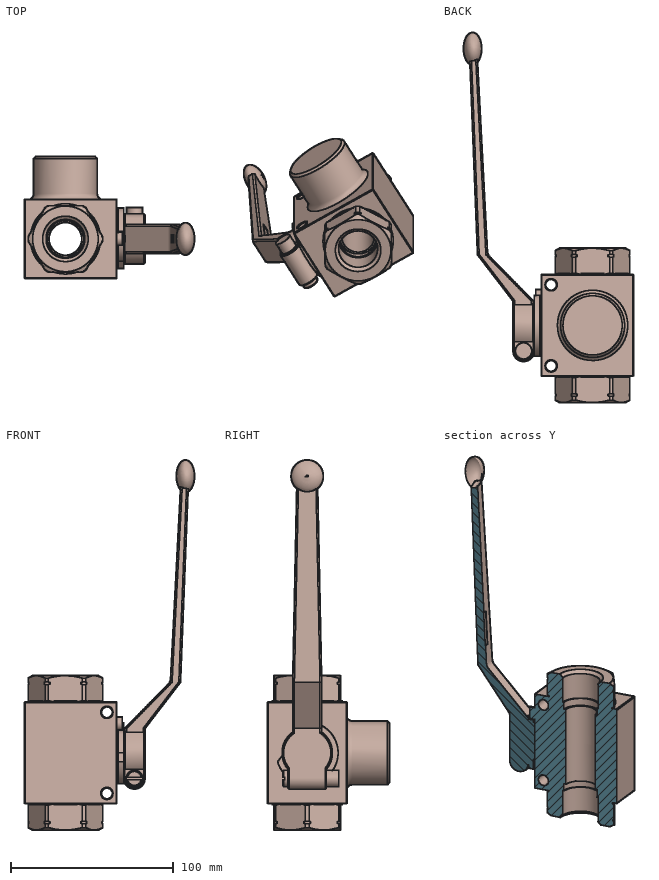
import cadquery as cq
import math


BLOCK_LEFT = -25.3
BLOCK_WIDTH = 56.9
BLOCK_RIGHT = BLOCK_LEFT + BLOCK_WIDTH
BLOCK_DEPTH = 49.0
BLOCK_HEIGHT = 62.5
BLOCK_CHAMFER = 0.5
MOUNT_HOLE_DIAMETER = 6.5
MOUNT_HOLE_CHAMFER = 0.5
MOUNT_HOLE_X = 25.5
MOUNT_HOLE_PITCH = 49.8

NUT_END_Z = 47.5
NUT_FLATS = 41.0
NUT_CORNER_DIAMETER = 46.0
NUT_FACE_DIAMETER = 40.3
NUT_CHAMFER_ANGLE = 30.0
NUT_GROOVE_FROM_END = 4.8
NUT_GROOVE_WIDTH = 1.5
NUT_GROOVE_DEPTH = 0.5
NUT_BASE_DIAMETER = 43.2
NUT_COLLAR_HEIGHT = 0.7

PASSAGE_DIAMETER = 20.0
STEP_DIAMETER = 22.5
SOCKET_DIAMETER = 24.0
SOCKET_DEPTH = 18.2
STEP_DEPTH = 22.8
SOCKET_CHAMFER = 2.0

PORT_DIAMETER = 39.4
PORT_LENGTH = 26.2
PORT_CHAMFER = 1.48
PORT_COLLAR_DIAMETER = 43.2
PORT_COLLAR_LENGTH = 3.2

STOP_PIN_DIAMETER = 8.0
STOP_PIN_LENGTH = 3.5
STOP_PIN_Z = 18.09

NECK_DIAMETER = 25.0
NECK_LENGTH = 0.8
DISC_DIAMETER = 38.0
DISC_INNER_DIAMETER = 27.8
DISC_END = 4.2
STOP_FACE_Y = 4.8
LOWER_STOP_INNER_Z = 0.0
LOWER_STOP_OUTER_Z = -5.5

HUB_DIAMETER = 31.0
HUB_END = 17.3
HUB_LENGTH = HUB_END - DISC_END
HUB_CHAMFER = 1.0
EAR_HALF_WIDTH = 11.8
EAR_CHAMFER = 0.7
SCREW_X = BLOCK_RIGHT + (DISC_END + HUB_END) / 2
SCREW_Z = -15.7
SCREW_HEAD_DIAMETER = 10.0
SCREW_HEAD_CHAMFER = 0.7
SCREW_FRONT_Y = -15.0
SCREW_BACK_Y = 19.3
SCREW_SLOT_WIDTH = 1.4
SCREW_SLOT_DEPTH = 1.1

LEVER_FOOT_Z = 15.0
LEVER_BEND_Z = 43.5
LEVER_FOOT_LEFT = 36.5
LEVER_FOOT_RIGHT = BLOCK_RIGHT + HUB_END
LEVER_BEND_LEFT = 64.4
LEVER_BEND_RIGHT = 70.8
LEVER_TOP_LEFT = 71.0
LEVER_TOP_RIGHT = 75.8
LEVER_WIDTH = 18.0
LEVER_TOP_WIDTH = 12.7
LEVER_BEVEL = 1.1
LEVER_BEND_RUN = 1.8

KNOB_X = 73.7
KNOB_DIAMETER = 20.0
KNOB_THICKNESS = 11.4
KNOB_Z = 227.5 - NUT_END_Z - KNOB_DIAMETER / 2

LABEL_WIDTH = 5.0
LABEL_BOTTOM_Z = 57.0
LABEL_TOP_Z = 78.7
LABEL_DEPTH = 0.2


def cylinder_x(diameter, x_start, x_end, z=0.0):
    """Cylinder along X between two places."""
    plane = cq.Workplane("YZ", origin=(x_start, 0, z))
    return plane.circle(diameter / 2).extrude(x_end - x_start)


def cylinder_y(diameter, y_start, y_end, x, z):
    """Cylinder along Y between two places."""
    plane = cq.Workplane("XZ", origin=(x, y_start, z))
    return plane.circle(diameter / 2).extrude(y_start - y_end)


def make_block():
    block = cq.Workplane("XY").box(BLOCK_WIDTH, BLOCK_DEPTH, BLOCK_HEIGHT)
    block = block.edges().chamfer(BLOCK_CHAMFER)
    return block.translate((BLOCK_LEFT + BLOCK_WIDTH / 2, 0, 0))


def make_nut():
    """Upper nut: a hexagon trimmed by a turned envelope with chamfers and a round groove, on a thin collar."""
    base_z = BLOCK_HEIGHT / 2
    slope = math.tan(math.radians(NUT_CHAMFER_ANGLE))
    corner_radius = NUT_CORNER_DIAMETER / 2
    face_radius = NUT_FACE_DIAMETER / 2
    base_radius = NUT_BASE_DIAMETER / 2
    groove_z = NUT_END_Z - NUT_GROOVE_FROM_END
    envelope = (
        cq.Workplane("XZ")
        .moveTo(0, base_z)
        .lineTo(base_radius, base_z)
        .lineTo(corner_radius, base_z + (corner_radius - base_radius) * slope)
        .lineTo(corner_radius, groove_z - NUT_GROOVE_WIDTH / 2)
        .threePointArc(
            (corner_radius - NUT_GROOVE_DEPTH, groove_z),
            (corner_radius, groove_z + NUT_GROOVE_WIDTH / 2),
        )
        .lineTo(corner_radius, NUT_END_Z - (corner_radius - face_radius) * slope)
        .lineTo(face_radius, NUT_END_Z)
        .lineTo(0, NUT_END_Z)
        .close()
        .revolve(360, (0, 0, 0), (0, 1, 0))
    )
    hexagon = (
        cq.Workplane("XY", origin=(0, 0, base_z))
        .polygon(6, NUT_FLATS, circumscribed=True)
        .extrude(NUT_END_Z - base_z)
    )
    collar = cq.Workplane("XY", origin=(0, 0, base_z)).circle(base_radius).extrude(NUT_COLLAR_HEIGHT)
    corner_turn = 30.0
    return hexagon.rotate((0, 0, 0), (0, 0, 1), corner_turn).intersect(envelope).union(collar)


def make_bore():
    """Upper half of the through passage, widening in two steps towards the nut face."""
    socket_radius = SOCKET_DIAMETER / 2
    return (
        cq.Workplane("XZ")
        .lineTo(PASSAGE_DIAMETER / 2, 0)
        .lineTo(PASSAGE_DIAMETER / 2, NUT_END_Z - STEP_DEPTH)
        .lineTo(STEP_DIAMETER / 2, NUT_END_Z - STEP_DEPTH)
        .lineTo(STEP_DIAMETER / 2, NUT_END_Z - SOCKET_DEPTH)
        .lineTo(socket_radius, NUT_END_Z - SOCKET_DEPTH)
        .lineTo(socket_radius, NUT_END_Z - SOCKET_CHAMFER)
        .lineTo(socket_radius + SOCKET_CHAMFER, NUT_END_Z)
        .lineTo(0, NUT_END_Z)
        .close()
        .revolve(360, (0, 0, 0), (0, 1, 0))
    )


def make_side_port():
    """Plain round port on the +Y face, with a curved collar at its root."""
    root_y = BLOCK_DEPTH / 2
    end_y = root_y + PORT_LENGTH
    radius = PORT_DIAMETER / 2
    return (
        cq.Workplane("XY")
        .moveTo(0, root_y)
        .lineTo(0, end_y)
        .lineTo(radius - PORT_CHAMFER, end_y)
        .lineTo(radius, end_y - PORT_CHAMFER)
        .lineTo(radius, root_y + PORT_COLLAR_LENGTH)
        .tangentArcPoint((PORT_COLLAR_DIAMETER / 2, root_y), relative=False)
        .close()
        .revolve(360, (0, 0, 0), (0, 1, 0))
    )


def make_mount_hole(z):
    """Through hole along Y with a chamfered mouth on both faces."""
    half_depth = BLOCK_DEPTH / 2
    radius = MOUNT_HOLE_DIAMETER / 2
    profile = [
        (0, -half_depth),
        (radius + MOUNT_HOLE_CHAMFER, -half_depth),
        (radius, MOUNT_HOLE_CHAMFER - half_depth),
        (radius, half_depth - MOUNT_HOLE_CHAMFER),
        (radius + MOUNT_HOLE_CHAMFER, half_depth),
        (0, half_depth),
    ]
    plane = cq.Workplane("XY", origin=(MOUNT_HOLE_X, 0, z))
    return plane.polyline(profile).close().revolve(360, (0, 0, 0), (0, 1, 0))


def make_housing():
    nut = make_nut()
    bore = make_bore()
    housing = make_block().union(make_side_port())
    housing = housing.union(nut).union(nut.mirror("XY"))
    housing = housing.cut(bore).cut(bore.mirror("XY"))
    for z in (-MOUNT_HOLE_PITCH / 2, MOUNT_HOLE_PITCH / 2):
        housing = housing.cut(make_mount_hole(z))
    pin = cylinder_x(STOP_PIN_DIAMETER, BLOCK_RIGHT, BLOCK_RIGHT + STOP_PIN_LENGTH, STOP_PIN_Z)
    return housing.union(pin)


def make_stop_disc():
    """Disc on a short neck; its rim is cut away over the sector swept past the stop pin."""
    disc_start = BLOCK_RIGHT + NECK_LENGTH
    disc_end = BLOCK_RIGHT + DISC_END
    inner_radius = DISC_INNER_DIAMETER / 2
    outer_radius = DISC_DIAMETER / 2
    lower_inner_y = -math.sqrt(inner_radius**2 - LOWER_STOP_INNER_Z**2)
    lower_outer_y = -math.sqrt(outer_radius**2 - LOWER_STOP_OUTER_Z**2)
    sector = (
        cq.Workplane("YZ", origin=(disc_start, 0, 0))
        .polyline(
            [
                (STOP_FACE_Y, 0),
                (STOP_FACE_Y, outer_radius),
                (-outer_radius, outer_radius),
                (-outer_radius, LOWER_STOP_OUTER_Z),
                (lower_outer_y, LOWER_STOP_OUTER_Z),
                (lower_inner_y, LOWER_STOP_INNER_Z),
            ]
        )
        .close()
        .extrude(disc_end - disc_start)
    )
    disc = cylinder_x(DISC_DIAMETER, disc_start, disc_end).cut(sector)
    core = cylinder_x(DISC_INNER_DIAMETER, disc_start, disc_end)
    neck = cylinder_x(NECK_DIAMETER, BLOCK_RIGHT, disc_start)
    return disc.union(core).union(neck)


def make_hub():
    """Round hub with a rounded clamping ear below it."""
    hub = cylinder_x(HUB_DIAMETER, BLOCK_RIGHT + DISC_END, BLOCK_RIGHT + HUB_END)
    hub = hub.edges().chamfer(HUB_CHAMFER)
    ear_round = cylinder_y(HUB_LENGTH, -EAR_HALF_WIDTH, EAR_HALF_WIDTH, SCREW_X, SCREW_Z)
    ear_web = (
        cq.Workplane("XY")
        .box(HUB_LENGTH, 2 * EAR_HALF_WIDTH, -SCREW_Z)
        .translate((SCREW_X, 0, SCREW_Z / 2))
    )
    ear = ear_round.union(ear_web).clean().faces("<Y or >Y").edges().chamfer(EAR_CHAMFER)
    return hub.union(ear)


def make_screw():
    """Clamping screw along Y with a slotted front end."""
    screw = cylinder_y(SCREW_HEAD_DIAMETER, SCREW_FRONT_Y, SCREW_BACK_Y, SCREW_X, SCREW_Z)
    screw = screw.faces("<Y").chamfer(SCREW_HEAD_CHAMFER)
    slot = (
        cq.Workplane("XY")
        .box(SCREW_HEAD_DIAMETER, 2 * SCREW_SLOT_DEPTH, SCREW_SLOT_WIDTH)
        .translate((SCREW_X, SCREW_FRONT_Y, SCREW_Z))
    )
    return screw.cut(slot)


def lever_section(z, left, right, width):
    """Level rectangular section of the lever with bevelled corners."""
    half_width = width / 2
    bevel = LEVER_BEVEL
    points = [
        (left, half_width - bevel),
        (left + bevel, half_width),
        (right - bevel, half_width),
        (right, half_width - bevel),
        (right, bevel - half_width),
        (right - bevel, -half_width),
        (left + bevel, -half_width),
        (left, bevel - half_width),
    ]
    return cq.Wire.makePolygon([cq.Vector(x, y, z) for x, y in points], close=True)


def make_lever():
    """Bent bar: a ruled loft through level bevelled sections, tapering towards the knob."""
    levels = [
        (0.0, LEVER_FOOT_LEFT, LEVER_FOOT_RIGHT, LEVER_WIDTH),
        (LEVER_FOOT_Z, LEVER_FOOT_LEFT, LEVER_FOOT_RIGHT, LEVER_WIDTH),
        (LEVER_BEND_Z, LEVER_BEND_LEFT, LEVER_BEND_RIGHT, LEVER_WIDTH),
        (KNOB_Z, LEVER_TOP_LEFT, LEVER_TOP_RIGHT, LEVER_TOP_WIDTH),
    ]
    sections = [lever_section(*level) for level in levels]
    return cq.Workplane(cq.Solid.makeLoft(sections, True))


def make_bend_round():
    """Web that rounds the inside of the lever bend with an arc tangent to both arms."""
    foot = cq.Vector(LEVER_FOOT_LEFT, LEVER_FOOT_Z)
    bend = cq.Vector(LEVER_BEND_LEFT, LEVER_BEND_Z)
    top = cq.Vector(LEVER_TOP_LEFT, KNOB_Z)
    arc_start = bend + (foot - bend).normalized() * LEVER_BEND_RUN
    arc_end = bend + (top - bend).normalized() * LEVER_BEND_RUN
    return (
        cq.Workplane("XZ")
        .moveTo(foot.x, foot.y)
        .lineTo(arc_start.x, arc_start.y)
        .tangentArcPoint((arc_end.x, arc_end.y), relative=False)
        .lineTo(LEVER_BEND_RIGHT, LEVER_BEND_Z)
        .close()
        .extrude(LEVER_WIDTH / 2 - LEVER_BEVEL, both=True)
    )


def make_label():
    """Shallow panel sunk into the inner face of the upper lever arm."""
    lean = (LEVER_TOP_LEFT - LEVER_BEND_LEFT) / (KNOB_Z - LEVER_BEND_Z)
    bottom_x = LEVER_BEND_LEFT + lean * (LABEL_BOTTOM_Z - LEVER_BEND_Z)
    top_x = LEVER_BEND_LEFT + lean * (LABEL_TOP_Z - LEVER_BEND_Z)
    return (
        cq.Workplane("XZ")
        .polyline(
            [
                (bottom_x - LABEL_DEPTH, LABEL_BOTTOM_Z),
                (bottom_x + LABEL_DEPTH, LABEL_BOTTOM_Z),
                (top_x + LABEL_DEPTH, LABEL_TOP_Z),
                (top_x - LABEL_DEPTH, LABEL_TOP_Z),
            ]
        )
        .close()
        .extrude(LABEL_WIDTH / 2, both=True)
    )


def make_knob():
    """Flattened ball, turned about an axis along X."""
    return (
        cq.Workplane("XZ", origin=(KNOB_X, 0, KNOB_Z))
        .moveTo(KNOB_THICKNESS / 2, 0)
        .ellipseArc(KNOB_THICKNESS / 2, KNOB_DIAMETER / 2, 0, 180, startAtCurrent=True)
        .close()
        .revolve(360, (0, 0, 0), (1, 0, 0))
    )


def make_handle():
    handle = make_stop_disc().union(make_hub()).union(make_screw())
    lever = make_lever().union(make_bend_round()).cut(make_label())
    return handle.union(lever).union(make_knob())


housing = make_housing()
handle = make_handle()

result = cq.Compound.makeCompound([*housing.solids().vals(), *handle.solids().vals()])